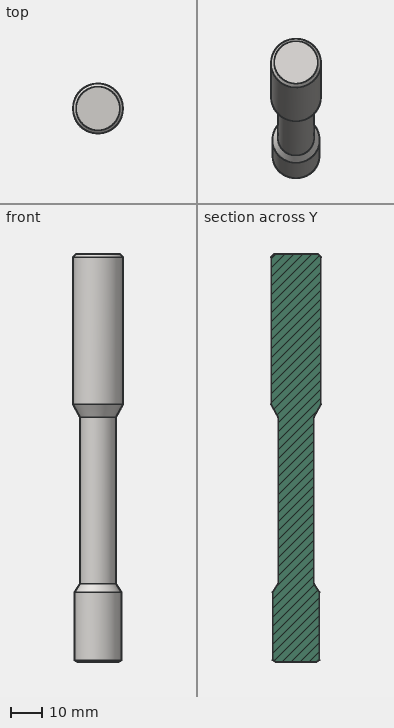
import cadquery as cq

length = 130.0
head_diameter = 16.0
neck_diameter = 11.6
foot_diameter = 15.1

foot_top = 22.2
neck_bottom = 25.0
neck_top = 78.0
head_bottom = 82.0

head_chamfer = 1.0
foot_chamfer_width = 1.0
foot_chamfer_height = 0.6

head_radius = head_diameter / 2
neck_radius = neck_diameter / 2
foot_radius = foot_diameter / 2

profile = [
    (0, 0),
    (foot_radius - foot_chamfer_width, 0),
    (foot_radius, foot_chamfer_height),
    (foot_radius, foot_top),
    (neck_radius, neck_bottom),
    (neck_radius, neck_top),
    (head_radius, head_bottom),
    (head_radius, length - head_chamfer),
    (head_radius - head_chamfer, length),
    (0, length),
]

result = cq.Workplane("XZ").polyline(profile).close().revolve(360, (0, 0, 0), (0, 1, 0))